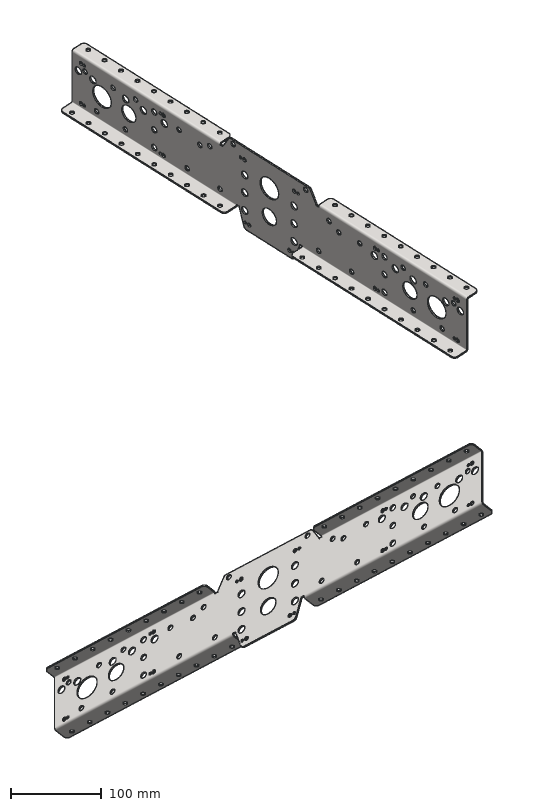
import cadquery as cq

length = 609.5
height = 116.5
depth = 38.0
thickness = 2.0
web_y = thickness / 2
bend_inner_radius = 1.05
pitch = length / 24

upper_face_z = 42.5
lower_face_z = -34.0
upper_hole_count = 9
lower_hole_count = 10
upper_flange_end = 3 * pitch
lower_flange_end = 2 * pitch
flange_corner_radius = 5.0
flange_hole_y = pitch / 2
flange_hole_diameter = 5.3

bend_outer_radius = bend_inner_radius + thickness
web_top = upper_face_z - bend_outer_radius
web_bottom = lower_face_z + bend_outer_radius
upper_tab_half_width = 62.0
upper_tab_root = 72.5
lower_tab_half_width = 38.5
lower_tab_root = 47.0
upper_tab_corner_radius = 3.0
lower_tab_corner_radius = 5.0

large_bore_diameter = 28.5
small_bore_diameter = 22.0
large_bore_x = 258.5
large_bore_center_z = 22.0
small_bore_x = 217.0
small_bore_center_z = -19.0
row_z = 2.15
low_row_z = row_z - pitch

column_x = 1.5 * pitch
column_top_z = 19.0
bolt_diameter = 10.0
bolt_holes = [
    (295.0, 18.0),
    (272.5, 18.0),
    (222.0, 20.0),
    (194.5, 20.0),
    (162.0, 20.0),
] + [(column_x, column_top_z - i * pitch) for i in range(3)]

mount_diameter = 8.0
mount_holes = [(7 * pitch, row_z + i * pitch) for i in (-1, 0, 1)]

screw_diameter = 7.0
screw_holes = [
    (284.5, 23.0),
    (241.5, 25.0),
    (206.5, 28.5),
    (139.5, 24.5),
    (107.0, 21.5),
    (92.0, 28.5),
    (56.0, 52.5),
] + [(i * pitch, low_row_z) for i in (3, 5, 8.75, 10.5)]

pair_large_diameter = 5.1
pair_small_diameter = 3.6
hole_pairs = [
    (291.0, 286.0, 31.0),
    (291.0, 286.0, -26.0),
    (163.5, 168.0, 31.0),
    (163.5, 168.0, -26.0),
    (38.5, 44.5, 40.0),
    (31.0, 37.0, -49.0),
]


def both_sides(points):
    """Return the points together with their mirror images in X."""
    return points + [(-x, z) for x, z in points]


def make_web():
    """Flat plate with an upper and a lower tab in the middle."""
    right = [
        (lower_tab_half_width, -height / 2),
        (lower_tab_root, web_bottom),
        (length / 2, web_bottom),
        (length / 2, web_top),
        (upper_tab_root, web_top),
        (upper_tab_half_width, height / 2),
    ]
    left = [(-x, z) for x, z in reversed(right)]
    plate = cq.Workplane("XZ").polyline(right + left).close().extrude(thickness / 2, both=True)
    plate = plate.edges("|Y").edges(">Z").fillet(upper_tab_corner_radius)
    return plate.edges("|Y").edges("<Z").fillet(lower_tab_corner_radius)


def make_flange(inner_end, face_z, reach):
    """Right-hand flange: bends from the web toward +Y, with its outer face at face_z."""
    web_face = thickness / 2
    arc_center_y = web_face + bend_inner_radius
    bend_start = face_z - bend_outer_radius
    section = (
        cq.Workplane("YZ", origin=(inner_end, 0, 0))
        .moveTo(-web_face, bend_start)
        .radiusArc((arc_center_y, face_z), bend_outer_radius)
        .lineTo(reach, face_z)
        .lineTo(reach, face_z - thickness)
        .lineTo(arc_center_y, face_z - thickness)
        .radiusArc((web_face, bend_start), -bend_inner_radius)
        .close()
    )
    flange = section.extrude(length / 2 - inner_end)
    return flange.edges("|Z and >Y").fillet(flange_corner_radius)


def flange_holes(count, y, face_z):
    """Row of cutters through one pair of flanges, counted inward from both ends."""
    row = [(length / 2 - (i + 0.5) * pitch, y) for i in range(count)]
    cutters = cq.Workplane("XY", origin=(0, 0, face_z)).pushPoints(both_sides(row))
    return cutters.circle(flange_hole_diameter / 2).extrude(thickness, both=True)


def web_holes(points, diameter):
    """Cutters through the web at the given (x, z) points."""
    cutters = cq.Workplane("XZ").pushPoints(points)
    return cutters.circle(diameter / 2).extrude(depth / 2, both=True)


upper_flange = make_flange(upper_flange_end, upper_face_z, depth / 2 - web_y)
lower_flange = make_flange(lower_flange_end, -lower_face_z, depth / 2 + web_y)
lower_flange = lower_flange.rotate((0, 0, 0), (1, 0, 0), 180)

result = make_web()
for flange in (upper_flange, lower_flange):
    result = result.union(flange).union(flange.mirror("YZ"))
result = result.translate((0, web_y, 0))

result = result.cut(flange_holes(upper_hole_count, flange_hole_y, upper_face_z))
result = result.cut(flange_holes(lower_hole_count, -flange_hole_y, lower_face_z))

pair_large_holes = [(large_x, z) for large_x, _, z in hole_pairs]
pair_small_holes = [(small_x, z) for _, small_x, z in hole_pairs]
large_bores = [(0, large_bore_center_z)] + both_sides([(large_bore_x, row_z)])
small_bores = [(0, small_bore_center_z)] + both_sides([(small_bore_x, row_z)])
result = result.cut(web_holes(large_bores, large_bore_diameter))
result = result.cut(web_holes(small_bores, small_bore_diameter))
result = result.cut(web_holes(both_sides(bolt_holes), bolt_diameter))
result = result.cut(web_holes(both_sides(mount_holes), mount_diameter))
result = result.cut(web_holes(both_sides(screw_holes), screw_diameter))
result = result.cut(web_holes(both_sides(pair_large_holes), pair_large_diameter))
result = result.cut(web_holes(both_sides(pair_small_holes), pair_small_diameter))